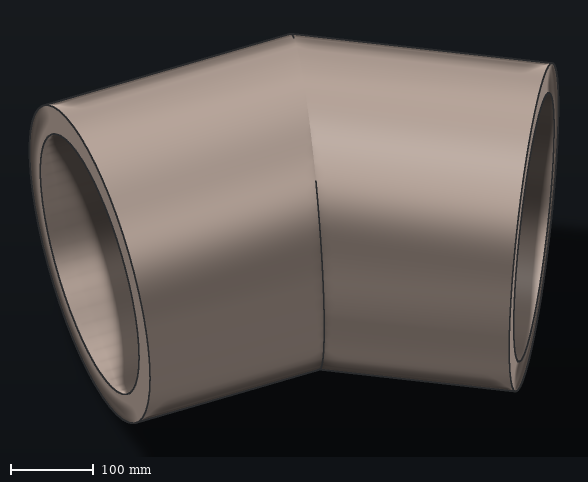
import cadquery as cq
import math

outer_diameter = 400.0
wall_thickness = 36.4
leg_length = 279.74
bend_angle = 30.0

inner_diameter = outer_diameter - 2 * wall_thickness
bend_radians = math.radians(bend_angle)

mitre_centre = (0.0, leg_length)
far_end = (
    mitre_centre[0] + leg_length * math.sin(bend_radians),
    mitre_centre[1] + leg_length * math.cos(bend_radians),
)


def mitred_cylinder(diameter):
    """Solid round bar following the centreline with a sharp mitre at the bend."""
    centreline = cq.Workplane("XY").polyline([(0.0, 0.0), mitre_centre, far_end])
    return cq.Workplane("XZ").circle(diameter / 2).sweep(centreline, transition="right")


result = mitred_cylinder(outer_diameter).cut(mitred_cylinder(inner_diameter))